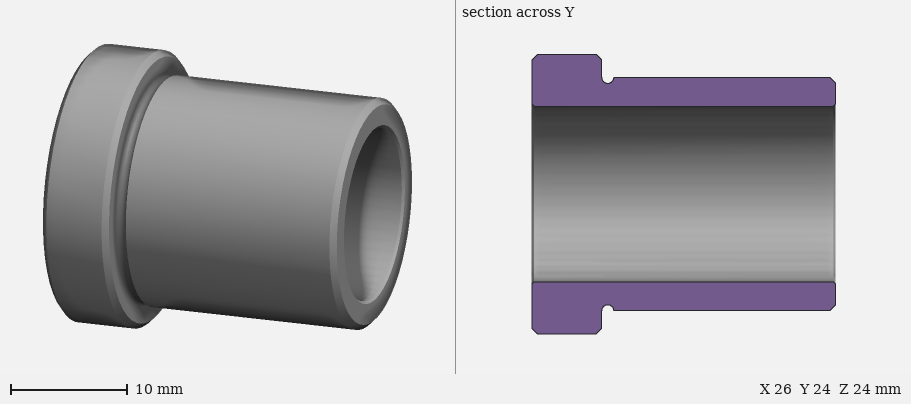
import cadquery as cq

length = 26.0
head_length = 6.0
head_radius = 24.0 / 2
body_radius = 20.0 / 2
bore_radius = 15.0 / 2

edge_chamfer = 0.5
bore_chamfer = 0.2
groove_radius = 0.5


def revolve_about_x(profile):
    return profile.close().revolve(360, (0, 0, 0), (1, 0, 0))


sleeve = revolve_about_x(
    cq.Workplane("XY")
    .moveTo(0, bore_radius + bore_chamfer)
    .lineTo(0, head_radius - edge_chamfer)
    .lineTo(edge_chamfer, head_radius)
    .lineTo(head_length - edge_chamfer, head_radius)
    .lineTo(head_length, head_radius - edge_chamfer)
    .lineTo(head_length, body_radius)
    .lineTo(length - edge_chamfer, body_radius)
    .lineTo(length, body_radius - edge_chamfer)
    .lineTo(length, bore_radius + bore_chamfer)
    .lineTo(length - bore_chamfer, bore_radius)
    .lineTo(bore_chamfer, bore_radius)
)

groove = revolve_about_x(
    cq.Workplane("XY")
    .moveTo(head_length, body_radius)
    .threePointArc(
        (head_length + groove_radius, body_radius - groove_radius),
        (head_length + 2 * groove_radius, body_radius),
    )
)

result = sleeve.cut(groove)